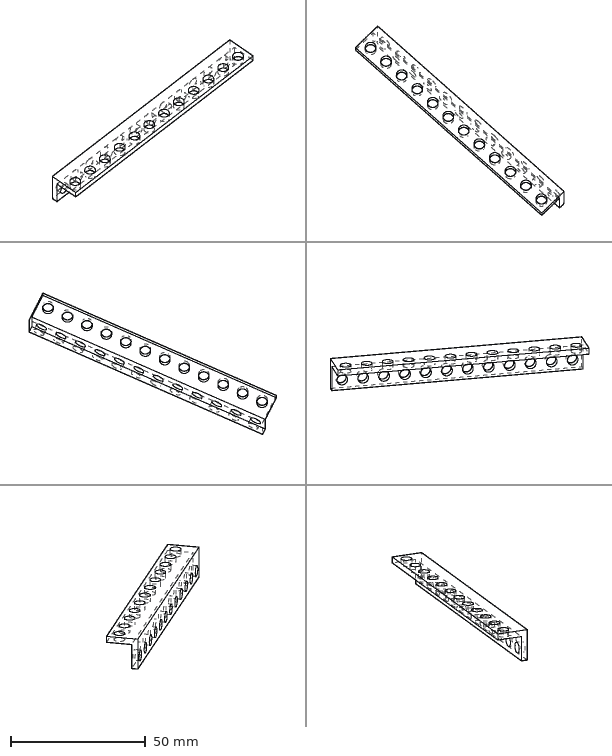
import cadquery as cq

length = 96.0
leg = 12.0
thickness = 2.4
hole_count = 12

pitch = length / hole_count
hole_diameter = pitch / 2
hole_from_corner = leg - pitch / 2


def angle_bar():
    """L-shaped bar along Y, outer corner at X = 0, Z = 0."""
    outline = [
        (0, 0),
        (leg, 0),
        (leg, -thickness),
        (thickness, -thickness),
        (thickness, -leg),
        (0, -leg),
    ]
    return cq.Workplane("XZ").polyline(outline).close().extrude(length / 2, both=True)


def hole_row(plane, row_center, columns, rows):
    """Row of cylinders reaching through one leg."""
    return (
        cq.Workplane(plane, origin=row_center)
        .rarray(pitch, pitch, columns, rows)
        .circle(hole_diameter / 2)
        .extrude(thickness, both=True)
    )


top_holes = hole_row("XY", (hole_from_corner, 0, 0), 1, hole_count)
side_holes = hole_row("YZ", (0, 0, -hole_from_corner), hole_count, 1)

result = angle_bar().cut(top_holes).cut(side_holes)